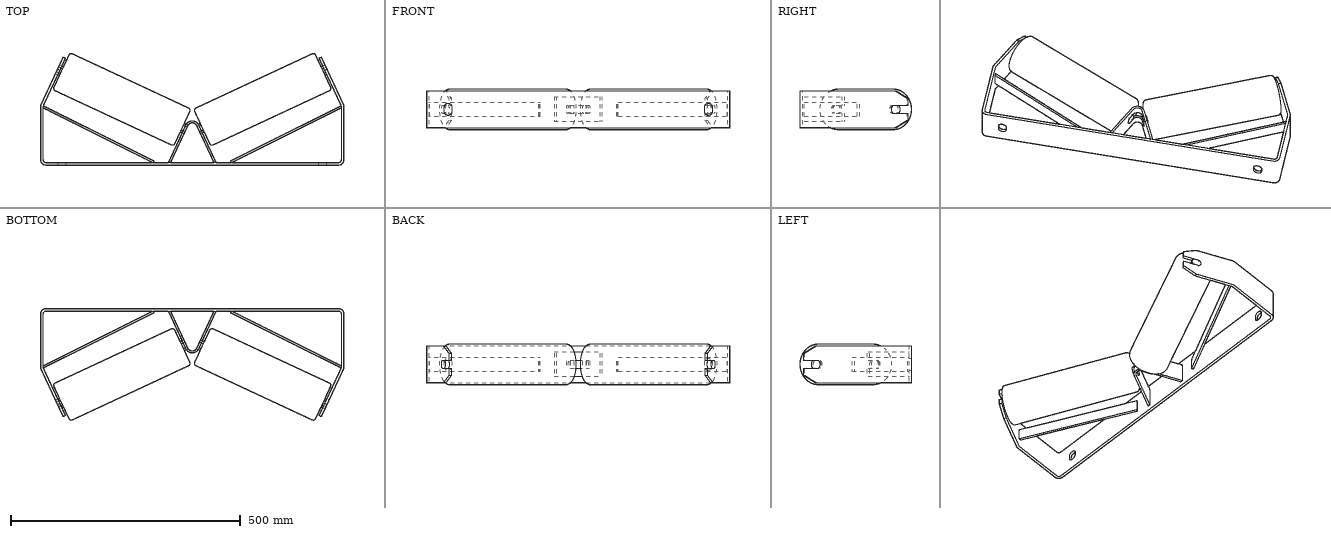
import cadquery as cq
import math

TILT = 25.0
FRAME_LENGTH = 660.0
FRAME_HEIGHT = 80.5
FRAME_THICKNESS = 6.0
FRAME_BEND_RADIUS = 12.0
FOLD_Y = 130.0
LIMB_LENGTH = 116.0
TIP_CUT_LENGTH = 29.0
TIP_CUT_HEIGHT = 16.5

MOUNT_SLOT_X = 283.0
MOUNT_SLOT_WIDTH = 18.0
MOUNT_SLOT_HEIGHT = 26.0

STRIP_THICKNESS = 4.5
BRACE_HEIGHT = 30.5
BRACE_ANGLE = 26.5
BRACE_END_X = 85.0
BRACE_BITE = 0.5

BRACKET_HEIGHT = 53.0
BRACKET_APEX_Y = 117.5
BRACKET_BEND_RADIUS = 15.0

ROLLER_DIAMETER = 89.0
ROLLER_LENGTH = 290.5
ROLLER_EDGE_RADIUS = 6.0
ROLLER_X = 153.0
ROLLER_Y = 143.0
AXLE_DIAMETER = 21.0
AXLE_FLATS = 18.0

MARGIN = 6.5

SIN = math.sin(math.radians(TILT))
COS = math.cos(math.radians(TILT))
HALF_LENGTH = FRAME_LENGTH / 2

ORIGIN_DISTANCE = ROLLER_X * COS + ROLLER_Y * SIN
LIMB_OUTER_FACE = ORIGIN_DISTANCE - HALF_LENGTH * COS - FOLD_Y * SIN
LEG_OUTER_FACE = ORIGIN_DISTANCE - BRACKET_APEX_Y * SIN
LEG_INNER_FACE = LEG_OUTER_FACE + STRIP_THICKNESS

FOLD_OFFSET = (ROLLER_X - HALF_LENGTH) * SIN + (FOLD_Y - ROLLER_Y) * COS
TIP_OFFSET = FOLD_OFFSET + LIMB_LENGTH


def across_left_roller(distance):
    """Workplane square to the left roller's axis; local x runs towards the limb's tip."""
    origin = (-ROLLER_X + distance * COS, ROLLER_Y - distance * SIN, 0)
    return cq.Workplane(cq.Plane(origin=origin, xDir=(SIN, COS, 0), normal=(COS, -SIN, 0)))


def with_mirror_image(shape):
    """The shape together with its copy on the other side of the middle plane."""
    return shape.union(shape.mirror("YZ"))


def bent_strip(corners, bends, radius, thickness, height, open_side):
    """Strip bent around a closed plan outline, with one side of the outline left open."""
    block = cq.Workplane("XY").polyline(corners).close().extrude(height / 2, both=True)
    for x, y in bends:
        block = block.edges(cq.selectors.NearestToPointSelector((x, y, 0))).fillet(radius)
    return block.faces(f"{open_side} or |Z").shell(-thickness)


def flatted_axle(start, length):
    """Round bar with two flats facing up and down, extruded from a workplane across the axis."""
    bar = start.circle(AXLE_DIAMETER / 2).extrude(length)
    return bar.intersect(start.rect(AXLE_DIAMETER, AXLE_FLATS).extrude(length))


def axle_slot(outer_face, thickness, reach):
    """Slot across a plate of the left roller: it seats the axle and runs towards the tip."""
    start = across_left_roller(outer_face - MARGIN / 2)
    depth = thickness + MARGIN
    channel = start.center(reach / 2, 0).rect(reach, AXLE_FLATS).extrude(depth)
    return flatted_axle(start, depth).union(channel)


def frame_plate():
    reach = LIMB_LENGTH + MARGIN
    tip = (HALF_LENGTH - reach * SIN, FOLD_Y + reach * COS)
    fold = (HALF_LENGTH, FOLD_Y)
    corner = (HALF_LENGTH, 0)
    right = [corner, fold, tip]
    left = [(-x, y) for x, y in reversed(right)]
    bends = [(side * x, y) for x, y in (corner, fold) for side in (-1, 1)]
    return bent_strip(right + left, bends, FRAME_BEND_RADIUS, FRAME_THICKNESS, FRAME_HEIGHT, ">Y")


def tip_waste():
    """Everything cut away around the left limb's tapered tip."""
    shoulder = TIP_OFFSET - TIP_CUT_LENGTH
    end = TIP_OFFSET + 2 * MARGIN
    edge = FRAME_HEIGHT / 2
    land = edge - TIP_CUT_HEIGHT
    outline = [
        (shoulder, edge), (TIP_OFFSET, land), (TIP_OFFSET, -land),
        (shoulder, -edge), (end, -edge), (end, edge),
    ]
    start = across_left_roller(LIMB_OUTER_FACE - MARGIN / 2)
    return start.polyline(outline).close().extrude(FRAME_THICKNESS + MARGIN)


def mount_slots():
    return (
        cq.Workplane("XZ", origin=(0, FRAME_THICKNESS + MARGIN, 0))
        .pushPoints([(-MOUNT_SLOT_X, 0), (MOUNT_SLOT_X, 0)])
        .slot2D(MOUNT_SLOT_HEIGHT, MOUNT_SLOT_WIDTH, 90)
        .extrude(FRAME_THICKNESS + 2 * MARGIN)
    )


def brace():
    """Left brace: from the base up to the side wall, just under the fold."""
    wall_x = HALF_LENGTH - FRAME_THICKNESS / 2
    length = (wall_x - BRACE_END_X) / math.cos(math.radians(BRACE_ANGLE))
    return (
        cq.Workplane("XY")
        .rect(length, STRIP_THICKNESS)
        .extrude(BRACE_HEIGHT / 2, both=True)
        .translate((-length / 2, STRIP_THICKNESS / 2, 0))
        .rotate((0, 0, 0), (0, 0, 1), -BRACE_ANGLE)
        .translate((-BRACE_END_X, FRAME_THICKNESS - BRACE_BITE, 0))
    )


def make_frame():
    limb_slot = axle_slot(LIMB_OUTER_FACE, FRAME_THICKNESS, TIP_OFFSET + MARGIN)
    plate = (
        frame_plate()
        .cut(with_mirror_image(tip_waste()))
        .cut(with_mirror_image(limb_slot))
        .cut(mount_slots())
    )
    return plate.union(with_mirror_image(brace()))


def make_bracket():
    foot_x = (BRACKET_APEX_Y - FRAME_THICKNESS) * SIN / COS
    apex = (0, BRACKET_APEX_Y)
    corners = [(-foot_x, FRAME_THICKNESS), (foot_x, FRAME_THICKNESS), apex]
    bracket = bent_strip(corners, [apex], BRACKET_BEND_RADIUS, STRIP_THICKNESS, BRACKET_HEIGHT, "<Y")

    axle_x = ROLLER_X - LEG_OUTER_FACE * COS
    axle_y = ROLLER_Y - LEG_OUTER_FACE * SIN
    rise = BRACKET_APEX_Y - axle_y
    peak_slot = (
        cq.Workplane("XY")
        .box(2 * axle_x, rise, AXLE_FLATS)
        .translate((0, axle_y + rise / 2, 0))
    )
    leg_slot = axle_slot(LEG_OUTER_FACE, STRIP_THICKNESS, rise)
    return bracket.cut(with_mirror_image(leg_slot)).cut(peak_slot)


def make_left_roller():
    drum = (
        across_left_roller(-ROLLER_LENGTH / 2)
        .circle(ROLLER_DIAMETER / 2)
        .extrude(ROLLER_LENGTH)
        .edges()
        .fillet(ROLLER_EDGE_RADIUS)
    )
    axle = flatted_axle(across_left_roller(LIMB_OUTER_FACE), LEG_INNER_FACE - LIMB_OUTER_FACE)
    return drum.union(axle)


frame = make_frame()
bracket = make_bracket()
left_roller = make_left_roller()
rollers = [left_roller, left_roller.mirror("YZ")]

result = cq.Compound.makeCompound([frame.val(), bracket.val(), *[roller.val() for roller in rollers]])